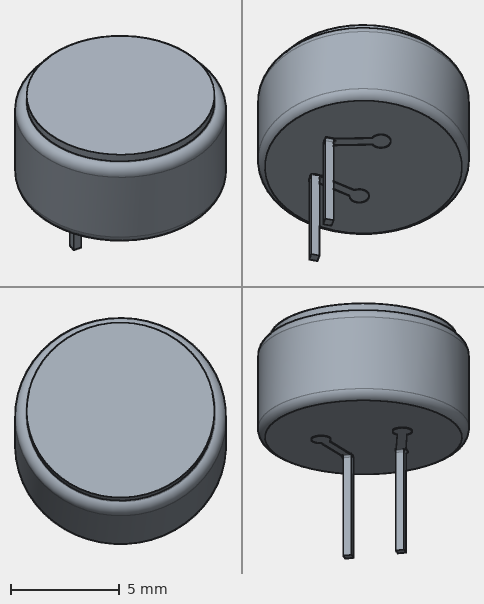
import cadquery as cq
import math

total_height = 9.9
pin_length = 5.0
body_diameter = 9.7
cap_diameter = 8.62
cap_height = 0.4
edge_radius = 0.495
lower_round_height = 0.47

pin_width = 0.4
pin_x = -2.0
pin_y = 1.25
lead_thickness = 0.04
strip_width = 0.45
pad_diameter = 0.9
pad_x = 0.32
pad_y = 1.93
gusset_radius = 0.1

base_z = pin_length
rim_z = total_height - cap_height
lead_z = base_z - lead_thickness
body_radius = body_diameter / 2


def arc_point(center_r, center_z, angle):
    """Point on an edge rounding, as (radius, height)."""
    a = math.radians(angle)
    return center_r + edge_radius * math.cos(a), center_z + edge_radius * math.sin(a)


def make_can():
    """Round can with rounded rims and a raised cap, revolved about Z."""
    round_center_r = body_radius - edge_radius
    lower_z = base_z + lower_round_height
    upper_z = rim_z - edge_radius
    lower_angle = -math.degrees(math.asin(lower_round_height / edge_radius))
    profile = (
        cq.Workplane("XZ")
        .moveTo(0, base_z)
        .lineTo(*arc_point(round_center_r, lower_z, lower_angle))
        .threePointArc(arc_point(round_center_r, lower_z, lower_angle / 2), (body_radius, lower_z))
        .lineTo(body_radius, upper_z)
        .threePointArc(arc_point(round_center_r, upper_z, 45), (round_center_r, rim_z))
        .lineTo(cap_diameter / 2, rim_z)
        .lineTo(cap_diameter / 2, total_height)
        .lineTo(0, total_height)
        .close()
    )
    return profile.revolve(360, (0, 0, 0), (0, 1, 0))


def make_gusset():
    """Concave fillet along +X from the pin center line, its top at the underside of the lead."""
    face = pin_width / 2
    middle = gusset_radius * (1 - math.sqrt(0.5))
    return (
        cq.Workplane("XZ")
        .moveTo(0, base_z)
        .lineTo(face + gusset_radius, base_z)
        .lineTo(face + gusset_radius, lead_z)
        .threePointArc((face + middle, lead_z - middle), (face, lead_z - gusset_radius))
        .lineTo(0, lead_z - gusset_radius)
        .close()
        .extrude(pin_width / 2, both=True)
    )


def make_disc(x, y, diameter):
    """Thin disc lying against the underside of the base."""
    disc = cq.Workplane("XY", origin=(x, y, lead_z)).circle(diameter / 2)
    return disc.extrude(lead_thickness)


def make_lead():
    """Square pin on the +Y side, with a round-ended flat strip running to its round pad."""
    pin = (
        cq.Workplane("XY")
        .center(pin_x, pin_y)
        .rect(pin_width, pin_width)
        .extrude(base_z)
    )
    run_x = pad_x - pin_x
    run_y = pad_y - pin_y
    strip_length = math.hypot(run_x, run_y)
    strip_angle = math.degrees(math.atan2(run_y, run_x))
    strip = (
        cq.Workplane("XY")
        .box(strip_length, strip_width, lead_thickness, centered=(False, True, False))
        .rotate((0, 0, 0), (0, 0, 1), strip_angle)
        .translate((pin_x, pin_y, lead_z))
    )
    round_end = make_disc(pin_x, pin_y, strip_width)
    pad = make_disc(pad_x, pad_y, pad_diameter)
    lead = pin.union(strip).union(round_end).union(pad)
    for turn in (0, 90):
        gusset = make_gusset().rotate((0, 0, 0), (0, 0, 1), turn)
        lead = lead.union(gusset.translate((pin_x, pin_y, 0)))
    return lead


lead = make_lead()
result = make_can().union(lead).union(lead.mirror("XZ"))